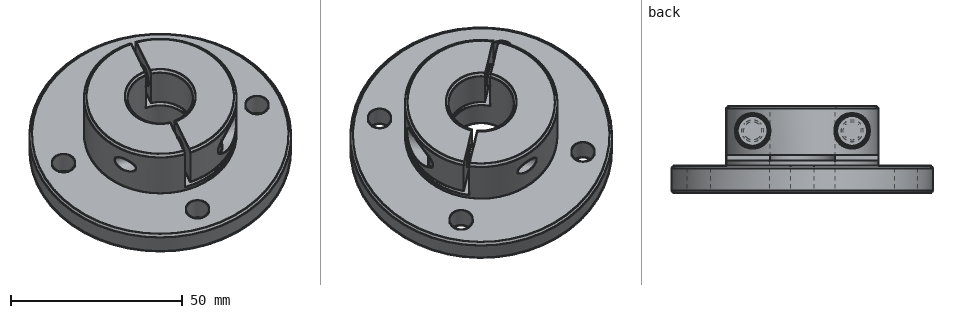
import cadquery as cq

flange_diameter = 76.2
flange_thickness = 8.0
total_height = 25.4
collar_diameter = 44.4
collar_radius = collar_diameter / 2
edge_chamfer = 0.8

bore_diameter = 19.05
bolt_hole_diameter = 6.8
bolt_circle_radius = 30.2
bolt_hole_count = 4

cut_width = 1.6
cap_bottom = 11.05

screw_offset = 14.5
screw_height = 18.1
counterbore_diameter = 10.3
head_diameter = 9.5
head_length = 6.3
head_chamfer = 0.4
head_top_y = 12.1
shank_diameter = 6.4
thread_diameter = 6.3
shank_end_y = 0.45
screw_tip_y = -12.2
tapped_hole_diameter = 5.25

head_seat_y = head_top_y - head_length


def cylinder_along_y(x, diameter, start_y, end_y):
    """Cylinder at the screw height, running from start_y up to end_y."""
    plane = cq.Plane(origin=(x, start_y, screw_height), xDir=(1, 0, 0), normal=(0, 1, 0))
    return cq.Workplane(plane).circle(diameter / 2).extrude(end_y - start_y)


def make_body():
    """Chamfered flange and collar with the shaft bore and bolt holes."""
    flange = cq.Workplane("XY").circle(flange_diameter / 2).extrude(flange_thickness)
    flange = flange.edges().chamfer(edge_chamfer)
    collar = cq.Workplane("XY").circle(collar_radius).extrude(total_height)
    collar = collar.faces(">Z").edges().chamfer(edge_chamfer)
    bore = cq.Workplane("XY").circle(bore_diameter / 2).extrude(total_height)
    body = flange.union(collar).cut(bore)
    bore_rim = body.faces(">Z").edges(cq.selectors.RadiusNthSelector(0))
    body = bore_rim.chamfer(edge_chamfer)
    bolt_holes = (
        cq.Workplane("XY")
        .polarArray(bolt_circle_radius, 0, 360, bolt_hole_count)
        .circle(bolt_hole_diameter / 2)
        .extrude(flange_thickness)
    )
    return body.cut(bolt_holes)


def make_saw_cuts():
    """Vertical cut across the collar, joined to a level cut under its +Y half."""
    cut_floor = cap_bottom - cut_width
    vertical = cq.Workplane("XY").box(
        collar_diameter, cut_width, total_height - cut_floor, centered=(True, True, False)
    ).translate((0, 0, cut_floor))
    level = cq.Workplane("XY").box(
        collar_diameter, collar_radius, cut_width, centered=(True, False, False)
    ).translate((0, 0, cut_floor))
    return vertical.union(level)


def make_screw(x):
    """Cap screw with a full shank under the head and a thinner threaded end."""
    head = cylinder_along_y(x, head_diameter, head_seat_y, head_top_y)
    head = head.faces(">Y").edges().chamfer(head_chamfer)
    shank = cylinder_along_y(x, shank_diameter, shank_end_y, head_seat_y)
    thread = cylinder_along_y(x, thread_diameter, screw_tip_y, shank_end_y)
    return head.union(shank).union(thread)


result = make_body().cut(make_saw_cuts())
for x in (-screw_offset, screw_offset):
    counterbore = cylinder_along_y(x, counterbore_diameter, head_seat_y, collar_radius)
    tapped_hole = cylinder_along_y(x, tapped_hole_diameter, -collar_radius, screw_tip_y)
    result = result.cut(counterbore).cut(tapped_hole).union(make_screw(x))